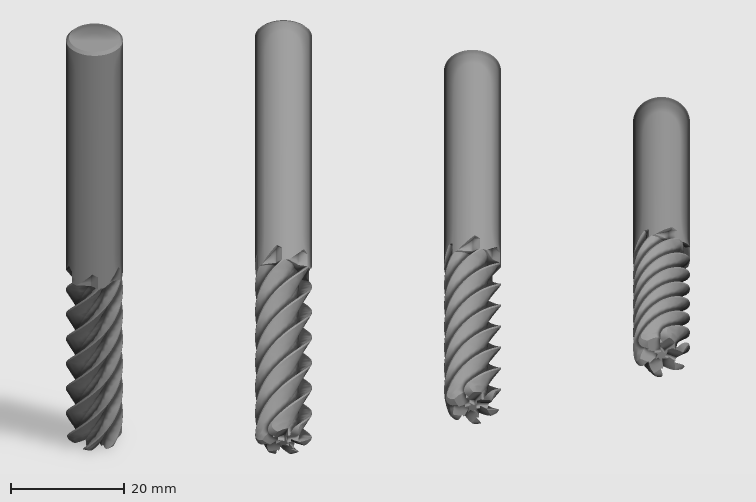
import cadquery as cq
import math

TOTAL_LENGTH = 85.0
DIAMETER = 10.0
CUT_LENGTH = 35.0
SHANK_CHAMFER = 0.5

FLUTE_COUNT = 6
HELIX_ANGLE = 45.0
LAND_ANGLE = 5.0
BACK_MIDDLE_ANGLE = 21.0
BACK_MIDDLE_RADIUS = 4.2
BACK_FOOT_ANGLE = 44.0
BACK_FOOT_RADIUS = 2.9
RAKE_FOOT_ANGLE = 69.0
RAKE_FOOT_RADIUS = 2.6
CORNER_RADIUS = 1.5

RUNOUT_ANGLE = 47.0
RUNOUT_APEX_ANGLE = 11.0
RUNOUT_FLOOR_ANGLE = 16.0
RUNOUT_FLOOR_RADIUS = 4.1
RUNOUT_HEIGHT = 3.1
RUNOUT_WALL_HEIGHT = 2.5

GASH_HEIGHT = 1.4
GASH_WIDTH = 2.1
GASH_INNER_RADIUS = 0.7

RADIUS = DIAMETER / 2
CLEAR_RADIUS = 1.2 * RADIUS
PITCH_ANGLE = 360.0 / FLUTE_COUNT
HELIX_LEAD = math.pi * DIAMETER / math.tan(math.radians(HELIX_ANGLE))
CUTTER_TWIST = 360.0 * CUT_LENGTH / HELIX_LEAD
EDGE_ANGLES = [i * PITCH_ANGLE for i in range(FLUTE_COUNT)]


def polar(radius, angle):
    """Point at a radius and an angle in degrees from +X."""
    return (radius * math.cos(math.radians(angle)), radius * math.sin(math.radians(angle)))


def tooth_section():
    """Cross-section of all teeth; each cutting edge lies at the start of its land."""
    section = cq.Workplane("XY").moveTo(*polar(RADIUS, 0))
    for edge in EDGE_ANGLES:
        section = (
            section
            .threePointArc(polar(RADIUS, edge + LAND_ANGLE / 2), polar(RADIUS, edge + LAND_ANGLE))
            .threePointArc(
                polar(BACK_MIDDLE_RADIUS, edge + BACK_MIDDLE_ANGLE),
                polar(BACK_FOOT_RADIUS, edge + BACK_FOOT_ANGLE),
            )
            .lineTo(*polar(RAKE_FOOT_RADIUS, edge + RAKE_FOOT_ANGLE))
            .lineTo(*polar(RADIUS, edge + PITCH_ANGLE))
        )
    return section.close()


def corner_ring():
    """Ring of waste outside the rounded corner at the cutting end."""
    arc_center = RADIUS - CORNER_RADIUS
    arc_middle = CORNER_RADIUS * math.sqrt(0.5)
    return (
        cq.Workplane("XZ")
        .moveTo(arc_center, 0)
        .threePointArc(
            (arc_center + arc_middle, CORNER_RADIUS - arc_middle), (RADIUS, CORNER_RADIUS)
        )
        .lineTo(CLEAR_RADIUS, CORNER_RADIUS)
        .lineTo(CLEAR_RADIUS, -CORNER_RADIUS)
        .lineTo(arc_center, -CORNER_RADIUS)
        .close()
        .revolve(360, (0, 0, 0), (0, 1, 0))
    )


def end_gash(edge):
    """Wedge that opens the end of the tool ahead of one cutting edge."""
    wedge = (
        cq.Workplane("YZ", origin=(GASH_INNER_RADIUS, 0, 0))
        .polyline([(0, 0), (0, GASH_HEIGHT), (-GASH_WIDTH, 0)]).close()
        .extrude(DIAMETER)
    )
    return wedge.rotate((0, 0, 0), (0, 0, 1), edge)


def make_cutter():
    """Helically fluted cutting end."""
    cutter = tooth_section().twistExtrude(CUT_LENGTH, CUTTER_TWIST)
    cutter = cutter.cut(corner_ring())
    for edge in EDGE_ANGLES:
        cutter = cutter.cut(end_gash(edge))
    return cutter


def flute_runout(edge):
    """Straight notch in the shank with a slanted upper end, where one flute runs out."""
    section = (
        cq.Workplane("XY", origin=(0, 0, CUT_LENGTH))
        .polyline([
            polar(RUNOUT_FLOOR_RADIUS, edge - RUNOUT_FLOOR_ANGLE),
            polar(RADIUS, edge),
            polar(CLEAR_RADIUS, edge),
            polar(CLEAR_RADIUS, edge - RUNOUT_ANGLE),
            polar(RADIUS, edge - RUNOUT_ANGLE),
        ])
        .close().extrude(RUNOUT_HEIGHT)
    )
    wall_offset = RADIUS * math.sin(math.radians(RUNOUT_APEX_ANGLE))
    tail_offset = RADIUS * math.sin(math.radians(RUNOUT_ANGLE - RUNOUT_APEX_ANGLE))
    outline = (
        cq.Workplane("YZ", origin=(0, 0, CUT_LENGTH))
        .polyline([
            (-tail_offset, 0),
            (0, RUNOUT_HEIGHT),
            (wall_offset, RUNOUT_WALL_HEIGHT),
            (DIAMETER, RUNOUT_WALL_HEIGHT),
            (DIAMETER, 0),
        ])
        .close().extrude(DIAMETER)
        .rotate((0, 0, 0), (0, 0, 1), edge - RUNOUT_APEX_ANGLE)
    )
    return section.intersect(outline)


def make_shank():
    """Plain shank with a chamfered top and the flute runouts at its lower end."""
    shank = (
        cq.Workplane("XY", origin=(0, 0, CUT_LENGTH))
        .circle(RADIUS).extrude(TOTAL_LENGTH - CUT_LENGTH)
        .faces(">Z").chamfer(SHANK_CHAMFER)
    )
    for edge in EDGE_ANGLES:
        shank = shank.cut(flute_runout(edge + CUTTER_TWIST))
    return shank


cutter = make_cutter()
shank = make_shank()

result = cq.Compound.makeCompound([cutter.solids().val(), shank.solids().val()])